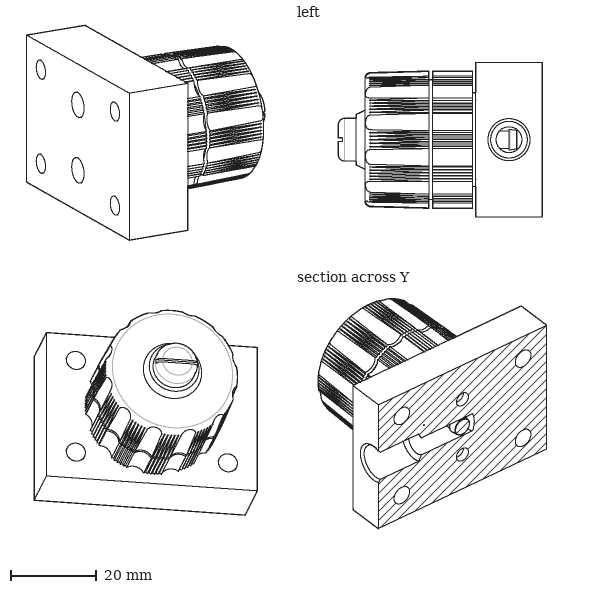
import cadquery as cq
import math

BLOCK_WIDTH = 50
BLOCK_DEPTH = 15.5
BLOCK_HEIGHT = 36
OVERALL_DEPTH = 47.5

MOUNT_HOLE_DIAMETER = 4.5
MOUNT_SPACING_X = 36
MOUNT_SPACING_Z = 23

FLOW_PORT_SPACING = 16
FLOW_SEAT_DIAMETER = 6
FLOW_SEAT_DEPTH = 5
FLOW_BORE_DIAMETER = 3.4
FLOW_BORE_DEPTH = BLOCK_DEPTH / 2

PORT_MOUTH_DIAMETER = 9.8
PORT_DIAMETER = 8.55
PORT_INNER_DIAMETER = 6
PORT_MOUTH_CHAMFER = (PORT_MOUTH_DIAMETER - PORT_DIAMETER) / 2
PORT_DEPTH = 12
PORT_SHOULDER_ANGLE = 118
PORT_INNER_DEPTH = 28
PORT_TIP_ANGLE = 140

STEM_DIAMETER = 4.1
STEM_HEAD_DIAMETER = 4.8
STEM_TAPER_DIAMETER = 4.35
STEM_END_DIAMETER = 4.1
STEM_HEAD_LENGTH = 1.9
STEM_HEAD_RIM = 0.2
STEM_END_CHAMFER = 0.2
STEM_HEAD_BACK = BLOCK_DEPTH / 2

NECK_RADIUS = 21.95 / 2
NECK_LENGTH = 0.7
LOWER_GRIP_LENGTH = 9.3
GAP_RADIUS = 28 / 2
GAP_LENGTH = 0.9
UPPER_GRIP_LENGTH = 14.9
GRIP_RADIUS = 16
GRIP_DRAFT = 1.5
GRIP_EDGE_RADIUS = 1.4
COLLAR_BASE_RADIUS = 6.9
COLLAR_TOP_RADIUS = 5.9
COLLAR_LENGTH = 2.05
SHAFT_RADIUS = 10 / 2
SHAFT_EDGE_RADIUS = 1.5
SLOT_WIDTH = 0.85
SLOT_DEPTH = 1

LOWER_GRIP_START = BLOCK_DEPTH + NECK_LENGTH
GAP_START = LOWER_GRIP_START + LOWER_GRIP_LENGTH
UPPER_GRIP_START = GAP_START + GAP_LENGTH
UPPER_GRIP_END = UPPER_GRIP_START + UPPER_GRIP_LENGTH
COLLAR_END = UPPER_GRIP_END + COLLAR_LENGTH

FLUTE_COUNT = 12
FLUTE_FLOOR_RADIUS = 14.9
TEETH_PER_RIB = 5
TOOTH_ROOT_RADIUS = 15.6
FLUTE_PITCH = 360 / FLUTE_COUNT
RIB_ANGLE = FLUTE_PITCH / 2
TOOTH_PITCH = RIB_ANGLE / TEETH_PER_RIB


def polar(radius, degrees):
    angle = math.radians(degrees)
    return radius * math.cos(angle), radius * math.sin(angle)


def xz_plane(y):
    """Plane facing +Y at the given station, with its local X along +Z."""
    return cq.Plane(origin=(0, y, 0), xDir=(0, 0, 1), normal=(0, 1, 0))


def cylinder(radius, start, end):
    return cq.Workplane(xz_plane(start)).circle(radius).extrude(end - start)


def front_holes(points, diameter, depth):
    return cq.Workplane(xz_plane(0)).pushPoints(points).circle(diameter / 2).extrude(depth)


def side_port():
    """Chamfered bore, conical shoulder and smaller bore with a drill-point end."""
    mouth = PORT_MOUTH_DIAMETER / 2
    bore = PORT_DIAMETER / 2
    inner = PORT_INNER_DIAMETER / 2
    shoulder_length = (bore - inner) / math.tan(math.radians(PORT_SHOULDER_ANGLE / 2))
    tip_length = inner / math.tan(math.radians(PORT_TIP_ANGLE / 2))
    profile = [
        (0, 0),
        (0, mouth),
        (PORT_MOUTH_CHAMFER, bore),
        (PORT_DEPTH, bore),
        (PORT_DEPTH + shoulder_length, inner),
        (PORT_INNER_DEPTH, inner),
        (PORT_INNER_DEPTH + tip_length, 0),
    ]
    plane = cq.Workplane("XY", origin=(-BLOCK_WIDTH / 2, BLOCK_DEPTH / 2, 0))
    return plane.polyline(profile).close().revolve(360, (0, 0, 0), (1, 0, 0))


def stem():
    """Stem hanging from the back wall of the side port, ending in a tapered head."""
    head = STEM_HEAD_DIAMETER / 2
    head_front = STEM_HEAD_BACK - STEM_HEAD_LENGTH
    profile = [
        (0, BLOCK_DEPTH),
        (STEM_DIAMETER / 2, BLOCK_DEPTH),
        (STEM_DIAMETER / 2, STEM_HEAD_BACK),
        (head, STEM_HEAD_BACK),
        (head, STEM_HEAD_BACK - STEM_HEAD_RIM),
        (STEM_TAPER_DIAMETER / 2, head_front + STEM_END_CHAMFER),
        (STEM_END_DIAMETER / 2, head_front),
        (0, head_front),
    ]
    return cq.Workplane("XY").polyline(profile).close().revolve(360, (0, 0, 0), (0, 1, 0))


def body():
    block = cq.Workplane("XY").box(BLOCK_WIDTH, BLOCK_DEPTH, BLOCK_HEIGHT)
    block = block.translate((0, BLOCK_DEPTH / 2, 0))
    mounts = [(z * MOUNT_SPACING_Z / 2, x * MOUNT_SPACING_X / 2) for z in (-1, 1) for x in (-1, 1)]
    ports = [(side * FLOW_PORT_SPACING / 2, 0) for side in (-1, 1)]
    block = block.cut(front_holes(mounts, MOUNT_HOLE_DIAMETER, BLOCK_DEPTH))
    block = block.cut(front_holes(ports, FLOW_SEAT_DIAMETER, FLOW_SEAT_DEPTH))
    block = block.cut(front_holes(ports, FLOW_BORE_DIAMETER, FLOW_BORE_DEPTH))
    return block.cut(side_port()).union(stem())


def grip_prism(start, end):
    """Prism of the toothed and fluted outline between two stations."""
    outline = cq.Workplane(xz_plane(start)).moveTo(*polar(GRIP_RADIUS, -RIB_ANGLE / 2))
    for flute in range(FLUTE_COUNT):
        rib_start = flute * FLUTE_PITCH - RIB_ANGLE / 2
        for tooth in range(TEETH_PER_RIB):
            root_angle = rib_start + (tooth + 0.5) * TOOTH_PITCH
            outline = outline.lineTo(*polar(TOOTH_ROOT_RADIUS, root_angle))
            outline = outline.lineTo(*polar(GRIP_RADIUS, root_angle + TOOTH_PITCH / 2))
        flute_middle = rib_start + RIB_ANGLE * 1.5
        flute_end = rib_start + FLUTE_PITCH
        outline = outline.threePointArc(
            polar(FLUTE_FLOOR_RADIUS, flute_middle), polar(GRIP_RADIUS, flute_end)
        )
    return outline.close().extrude(end - start)


def upper_grip():
    """Toothed grip trimmed to a drafted cone with a rounded rear edge."""
    top_radius = GRIP_RADIUS - UPPER_GRIP_LENGTH * math.tan(math.radians(GRIP_DRAFT))
    cone = (
        cq.Workplane("XY")
        .moveTo(0, UPPER_GRIP_START)
        .lineTo(GRIP_RADIUS, UPPER_GRIP_START)
        .lineTo(top_radius, UPPER_GRIP_END)
        .lineTo(0, UPPER_GRIP_END)
        .close()
        .revolve(360, (0, 0, 0), (0, 1, 0))
        .faces(">Y")
        .edges()
        .fillet(GRIP_EDGE_RADIUS)
    )
    return cone.intersect(grip_prism(UPPER_GRIP_START, UPPER_GRIP_END))


def collar():
    profile = [
        (0, UPPER_GRIP_END),
        (COLLAR_BASE_RADIUS, UPPER_GRIP_END),
        (COLLAR_TOP_RADIUS, COLLAR_END),
        (0, COLLAR_END),
    ]
    return cq.Workplane("XY").polyline(profile).close().revolve(360, (0, 0, 0), (0, 1, 0))


def slotted_shaft():
    shaft = cylinder(SHAFT_RADIUS, COLLAR_END, OVERALL_DEPTH)
    shaft = shaft.faces(">Y").edges().fillet(SHAFT_EDGE_RADIUS)
    slot = cq.Workplane("XY").box(2 * SHAFT_RADIUS, 2 * SLOT_DEPTH, SLOT_WIDTH)
    return shaft.cut(slot.translate((0, OVERALL_DEPTH, 0)))


result = (
    body()
    .union(cylinder(NECK_RADIUS, BLOCK_DEPTH, LOWER_GRIP_START))
    .union(grip_prism(LOWER_GRIP_START, GAP_START))
    .union(cylinder(GAP_RADIUS, GAP_START, UPPER_GRIP_START))
    .union(upper_grip())
    .union(collar())
    .union(slotted_shaft())
)